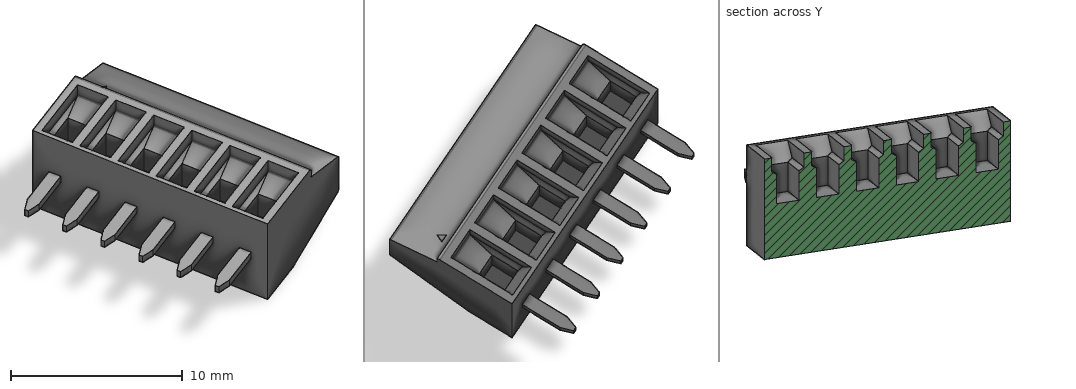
import cadquery as cq

length = 15.69
body_depth = 8.5
height = 6.28
step_y = 5.21
step_z = 5.57
back_top_z = 4.38
back_bottom_z = 1.5
flat_bottom_y = 3.06
edge_radius = 0.2

pole_count = 6
pitch = 2.54
first_pole_x = (length - (pole_count - 1) * pitch) / 2
pole_positions = [first_pole_x + i * pitch for i in range(pole_count)]

mouth_width = 2.02
mouth_front_y = 0.27
mouth_back_y = 4.53
mouth_depth = 0.88
ramp_fillet = 0.06
well_width = 1.4
well_front_y = 1.0
well_back_y = 2.8
funnel_depth = 1.07

pin_width = 0.78
pin_thickness = 0.5
pin_length = 3.39
pin_tip_width = 0.25
pin_taper_length = 0.78
pin_z = height / 2

mark_width = 0.5
mark_front_y = 5.66
mark_back_y = 6.15
mark_depth = 0.06


def make_housing():
    housing = (
        cq.Workplane("YZ")
        .moveTo(0, 0)
        .lineTo(flat_bottom_y, 0)
        .lineTo(body_depth, back_bottom_z)
        .lineTo(body_depth, back_top_z)
        .lineTo(step_y, step_z)
        .lineTo(step_y, height)
        .lineTo(0, height)
        .close()
        .extrude(length)
    )
    rear_edges = housing.faces(">Y").edges("|X")
    block_edge = housing.faces(">Z").edges(">Y")
    return housing.newObject(rear_edges.vals() + block_edge.vals()).fillet(edge_radius)


def rectangle(center_x, width, front_y, back_y, depth):
    """Closed rectangular wire lying `depth` below the top face."""
    half = width / 2
    corners = [
        (center_x - half, front_y),
        (center_x + half, front_y),
        (center_x + half, back_y),
        (center_x - half, back_y),
    ]
    return cq.Wire.makePolygon([cq.Vector(x, y, height - depth) for x, y in corners], close=True)


def make_wire_entry(center_x):
    front_lean = (well_front_y - mouth_front_y) / funnel_depth
    waist_front_y = mouth_front_y + front_lean * mouth_depth

    top = rectangle(center_x, mouth_width, mouth_front_y, mouth_back_y, 0)
    waist = rectangle(center_x, mouth_width, waist_front_y, mouth_back_y, mouth_depth)
    throat = rectangle(center_x, well_width, well_front_y, well_back_y, funnel_depth)
    well_floor_depth = height - (pin_z + pin_thickness / 2)
    floor = rectangle(center_x, well_width, well_front_y, well_back_y, well_floor_depth)

    entry = cq.Workplane(cq.Solid.makeLoft([top, waist], True))
    entry = entry.union(cq.Workplane(cq.Solid.makeLoft([waist, throat], True)))
    entry = entry.faces(">Y").edges("<Z").fillet(ramp_fillet)
    return entry.union(cq.Workplane(cq.Solid.makeLoft([throat, floor], True)))


def make_pin(center_x):
    taper_start_y = pin_taper_length - pin_length
    return (
        cq.Workplane("XY", origin=(center_x, 0, pin_z))
        .moveTo(-pin_width / 2, 0)
        .lineTo(-pin_width / 2, taper_start_y)
        .lineTo(-pin_tip_width / 2, -pin_length)
        .lineTo(pin_tip_width / 2, -pin_length)
        .lineTo(pin_width / 2, taper_start_y)
        .lineTo(pin_width / 2, 0)
        .close()
        .extrude(pin_thickness / 2, both=True)
    )


def make_mark():
    prism = (
        cq.Workplane("XY")
        .moveTo(first_pole_x - mark_width / 2, mark_front_y)
        .lineTo(first_pole_x + mark_width / 2, mark_front_y)
        .lineTo(first_pole_x, mark_back_y)
        .close()
        .extrude(height)
    )
    above_mark_floor = (
        cq.Workplane("YZ")
        .moveTo(step_y, step_z - mark_depth)
        .lineTo(body_depth, back_top_z - mark_depth)
        .lineTo(body_depth, height)
        .lineTo(step_y, height)
        .close()
        .extrude(length)
    )
    return prism.intersect(above_mark_floor)


result = make_housing().cut(make_mark())
for pole_x in pole_positions:
    result = result.cut(make_wire_entry(pole_x)).union(make_pin(pole_x))